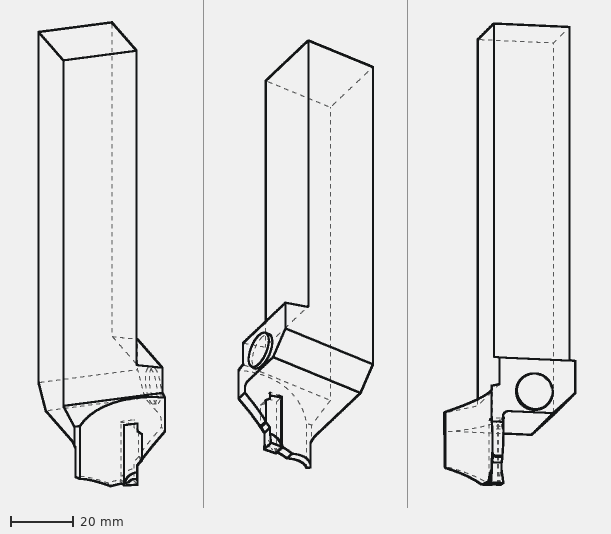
import cadquery as cq
import math

total_height = 151.4
shank_width = 25.0
head_width = 36.0
head_depth = 33.8
head_bottom = 21.8
head_shoulder_inner = 30.5
head_shoulder_outer = 27.7
corner_chamfer_x = 7.3
corner_chamfer_z = 7.0
back_shoulder_inner = 41.5
back_shoulder_outer = 39.4
back_shoulder_radius = 0.6

inner_radius = 28.8
inner_leftmost_x = 22.4
inner_center_y = 24.8
outer_radius = 28.3
outer_leftmost_x = 25.7
outer_center_y = 23.8
blade_bottom = 1.2
blade_bottom_front_y = 15.5
blade_front_z = 10.3
blade_back_z = 18.2
blade_root_radius = 1.8

screw_diameter = 11.8
screw_x = 13.6
screw_z = 28.5
screw_height = 1.4

insert_front_y = 20.5
insert_back_y = 25.0
insert_rear_y = 26.5
insert_top = 21.3
insert_rear_low_z = 8.2
insert_rear_high_z = 17.4
insert_rear_rise = 1.2
insert_neck_z = 6.7
insert_right_x = 25.6
tip_left_x = 21.8
tip_right_x = 25.9
tip_height = 4.2
tip_clearance = 0.3


def upright_cylinder(radius, leftmost_x, center_y, height):
    return cq.Workplane("XY").center(leftmost_x + radius, center_y).circle(radius).extrude(height)


def extrude_side_profile(profile, x_start, x_end):
    """Extrude a closed YZ wire along X."""
    return profile.extrude(x_end - x_start).translate((x_start, 0, 0))


def make_shank_and_head():
    front_profile = (
        cq.Workplane("XZ")
        .polyline([
            (0, total_height),
            (shank_width, total_height),
            (shank_width, head_shoulder_inner),
            (head_width, head_shoulder_outer),
            (head_width, head_bottom),
            (corner_chamfer_x, head_bottom),
            (0, head_bottom + corner_chamfer_z),
        ])
        .close()
        .extrude(-head_depth)
    )
    side_profile = (
        cq.Workplane("YZ")
        .polyline([
            (0, head_bottom),
            (0, total_height),
            (shank_width, total_height),
            (shank_width, back_shoulder_inner),
            (head_depth, back_shoulder_outer),
            (head_depth, head_bottom),
        ])
        .close()
    )
    side_body = extrude_side_profile(side_profile, 0, head_width)
    shoulder_point = (head_width / 2, shank_width, back_shoulder_inner)
    side_body = side_body.edges(cq.selectors.NearestToPointSelector(shoulder_point)).fillet(back_shoulder_radius)
    return front_profile.intersect(side_body)


def make_blade():
    profile = (
        cq.Workplane("YZ")
        .polyline([
            (0, head_bottom),
            (0, blade_front_z),
            (blade_bottom_front_y, blade_bottom),
            (insert_back_y, blade_bottom),
            (insert_back_y, insert_neck_z),
            (head_depth, blade_back_z),
            (head_depth, head_bottom),
        ])
        .close()
    )
    blade = extrude_side_profile(profile, inner_leftmost_x, head_width)
    return blade.intersect(upright_cylinder(inner_radius, inner_leftmost_x, inner_center_y, head_bottom))


def make_blade_root():
    """Concave fillet between the inner blade face and the underside of the head."""
    root_bottom = head_bottom - blade_root_radius
    center_x = inner_leftmost_x + inner_radius
    flare_x = inner_leftmost_x - blade_root_radius
    arc_offset = blade_root_radius * math.sqrt(0.5)
    arc_middle = (flare_x + arc_offset, root_bottom + arc_offset)
    ring = (
        cq.Workplane("XZ", origin=(0, inner_center_y, 0))
        .moveTo(center_x, root_bottom)
        .lineTo(inner_leftmost_x, root_bottom)
        .threePointArc(arc_middle, (flare_x, head_bottom))
        .lineTo(center_x, head_bottom)
        .close()
        .revolve(360, (center_x, 0, 0), (center_x, 1, 0))
    )
    limits = cq.Workplane("XY").box(head_width, head_depth, head_bottom, centered=False)
    return ring.intersect(limits)


def make_screw_head():
    return (
        cq.Workplane("XZ", origin=(0, head_depth, 0))
        .center(screw_x, screw_z)
        .circle(screw_diameter / 2)
        .extrude(-screw_height)
    )


def make_insert():
    body_profile = (
        cq.Workplane("YZ")
        .polyline([
            (insert_front_y, tip_clearance),
            (insert_front_y, insert_top),
            (insert_back_y, insert_top),
            (insert_back_y, insert_rear_high_z + insert_rear_rise),
            (insert_rear_y, insert_rear_high_z),
            (insert_rear_y, insert_rear_low_z),
            (insert_back_y, insert_neck_z),
            (insert_back_y, 0),
        ])
        .close()
    )
    body = extrude_side_profile(body_profile, inner_leftmost_x, insert_right_x)
    arc_y = insert_back_y - (insert_back_y - insert_front_y) * math.sqrt(0.5)
    arc_z = tip_clearance + (tip_height - tip_clearance) * math.sqrt(0.5)
    tip_profile = (
        cq.Workplane("YZ")
        .moveTo(insert_back_y, 0)
        .lineTo(insert_back_y, tip_height)
        .threePointArc((arc_y, arc_z), (insert_front_y, tip_clearance))
        .close()
    )
    tip = extrude_side_profile(tip_profile, tip_left_x, tip_right_x)
    flank_limits = (
        cq.Workplane("XZ")
        .polyline([
            (tip_left_x, 0),
            (tip_right_x, 0),
            (insert_right_x, tip_height),
            (inner_leftmost_x, tip_height),
        ])
        .close()
        .extrude(-insert_back_y)
    )
    return body.union(tip.intersect(flank_limits))


def make_holder(insert):
    holder = make_shank_and_head().union(make_blade()).union(make_blade_root())
    outer_clearance = upright_cylinder(outer_radius, outer_leftmost_x, outer_center_y, head_shoulder_inner)
    return holder.cut(outer_clearance).union(make_screw_head()).cut(insert)


insert = make_insert()
holder = make_holder(insert)

result = cq.Compound.makeCompound([holder.val(), insert.val()])